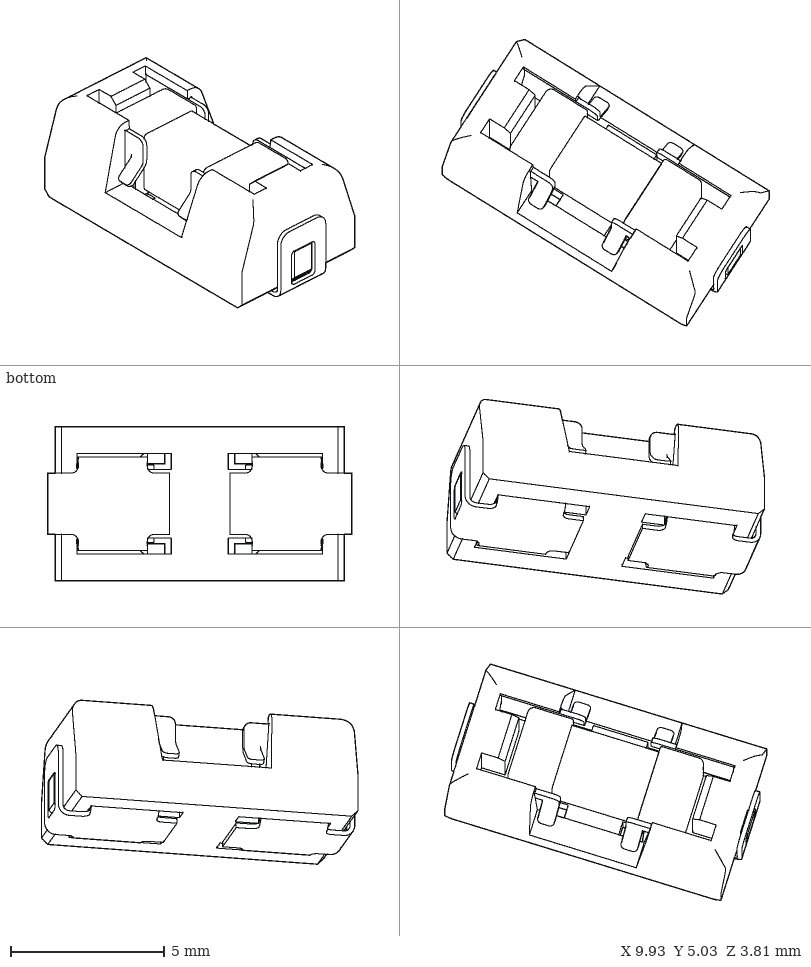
import cadquery as cq
import math


overall_length = 9.93
overall_width = 5.03
overall_height = 3.81
draft = math.tan(math.radians(4.5))

edge_reach = 0.01

sheet = 0.16
bend_outside = 0.37
bend_inside = bend_outside - sheet
lead_half_width = 1.0
lead_top = 2.5
lead_corner_radius = 0.4
window_width = 1.03
window_bottom = 0.36
window_top = 1.65
window_corner_radius = 0.12
foot_start = 0.99
blade_start = 1.71
blade_end = 3.97
blade_outer = 1.46
blade_root = 1.53
blade_top = 3.5
foot_relief_radius = 0.22
pinched_outer = 1.31
pinch_height = 2.02
shoulder_height = 2.62
wing_start = 1.14
wing_corner_radius = 0.25
tab_bend_height = 2.6
tab_tip_y = 2.11
tab_tip_z = 2.01
tab_corner_radius = 0.16

housing_half_length = 4.73
housing_bottom = sheet
ledge_height = 1.62
flank_top_half_width = 1.83
end_round = 0.6
flank_round = 0.5
end_chamfer = 0.21
boss_width = 0.77
saddle_half_length = 1.83
cavity_half_length = 4.01
cavity_half_width = blade_outer - sheet
slot_outer = 1.64
slot_inner = pinched_outer - sheet
stop_half_width = 0.75
stop_face = 3.21
stop_chamfer = 0.24
platform_half_length = 1.32
platform_gap_start = 0.93
platform_half_width = 1.12

cap_half_width = 1.27
cap_top = 3.57
cap_inner = 1.49
cap_outer = 3.0
cap_round = 0.21
cap_lip_round = 0.06
tube_half_width = 1.09
tube_round = 0.12
cap_bottom = cap_top - 2 * cap_half_width
fuse_axis_height = cap_top - cap_half_width
tube_bottom = fuse_axis_height - tube_half_width


def span_box(x0, x1, y0, y1, z0, z1):
    """Box between two opposite corners."""
    return cq.Workplane("XY").box(x1 - x0, y1 - y0, z1 - z0, centered=False).translate((x0, y0, z0))


def extrude_along_x(profile, x0, x1):
    """Extrude a YZ profile from x0 to x1."""
    return profile.extrude(x1 - x0).translate((x0, 0, 0))


def with_mirror(shape, plane):
    """A shape together with its mirror image."""
    return shape.union(shape.mirror(plane))


def housing_shell():
    """Outer form: sloping flanks crossed with round-topped ends, which meet in mitred corners."""
    flanks = (
        cq.Workplane("YZ")
        .moveTo(-overall_width / 2, housing_bottom)
        .lineTo(overall_width / 2, housing_bottom)
        .lineTo(overall_width / 2, ledge_height)
        .lineTo(flank_top_half_width, overall_height)
        .lineTo(-flank_top_half_width, overall_height)
        .lineTo(-overall_width / 2, ledge_height)
        .close()
        .extrude(housing_half_length, both=True)
        .edges("|X and >Z").fillet(flank_round)
    )
    ends = (
        cq.Workplane("XZ")
        .rect(2 * housing_half_length, overall_height - housing_bottom)
        .extrude(overall_width / 2, both=True)
        .translate((0, 0, (overall_height + housing_bottom) / 2))
        .edges("|Y and >Z").fillet(end_round)
        .edges("|Y and <Z").chamfer(end_chamfer)
    )
    return flanks.intersect(ends)


def end_boss():
    """Block on the +X end that sits in the lead window; its underside carries on the end chamfer."""
    face = overall_length / 2
    root = housing_half_length - end_chamfer
    return (
        cq.Workplane("XZ")
        .moveTo(root, housing_bottom)
        .lineTo(face, housing_bottom + face - root)
        .lineTo(face, ledge_height)
        .lineTo(root, ledge_height)
        .close()
        .extrude(boss_width / 2, both=True)
    )


def saddle():
    """Drafted gap across the middle, above the ledges."""
    top_half_length = saddle_half_length + draft * (overall_height - ledge_height)
    return (
        cq.Workplane("XZ")
        .moveTo(-saddle_half_length, ledge_height)
        .lineTo(saddle_half_length, ledge_height)
        .lineTo(top_half_length, overall_height)
        .lineTo(-top_half_length, overall_height)
        .close()
        .extrude(overall_width / 2, both=True)
    )


def fuse_cavity():
    """Open-topped cavity, with a raised platform under the tube and a wider middle well."""
    cavity = span_box(-cavity_half_length, cavity_half_length, -cavity_half_width, cavity_half_width,
                      cap_bottom, overall_height)
    platform = span_box(-platform_half_length, platform_half_length, -cavity_half_width, cavity_half_width,
                        cap_bottom, tube_bottom)
    well = span_box(-platform_half_length, platform_half_length, -slot_outer, slot_outer,
                    tube_bottom, ledge_height)
    return cavity.cut(platform).union(well)


def end_stop():
    """Chamfered block inside the +X end of the cavity."""
    block = span_box(stop_face, cavity_half_length, -stop_half_width, stop_half_width,
                     cap_bottom, overall_height)
    return block.edges("|Y and <X and >Z").chamfer(stop_chamfer)


def blade_slot():
    """Slot for one blade (+X, +Y), open below; its outer wall is drafted above the ledge."""
    slot_roof_y = slot_outer - draft * (blade_top - ledge_height)
    profile = (
        cq.Workplane("YZ")
        .moveTo(slot_inner, housing_bottom)
        .lineTo(slot_outer, housing_bottom)
        .lineTo(slot_outer, ledge_height)
        .lineTo(slot_roof_y, blade_top)
        .lineTo(slot_inner, blade_top)
        .close()
    )
    slot = extrude_along_x(profile, blade_start, cavity_half_length)
    opening = span_box(platform_gap_start, blade_start, platform_half_width, slot_outer,
                       housing_bottom, ledge_height)
    return slot.union(opening)


def make_housing():
    slots = with_mirror(with_mirror(blade_slot(), "XZ"), "YZ")
    bosses = with_mirror(end_boss(), "YZ")
    stops = with_mirror(end_stop(), "YZ")
    openings = fuse_cavity().cut(stops).union(slots).union(saddle())
    return housing_shell().union(bosses).cut(openings)


def clip_lead():
    """Foot strip and upright lead at the +X end, bent from one sheet, with a window for the boss."""
    face = overall_length / 2
    inner_face = face - sheet
    lead = (
        cq.Workplane("XZ")
        .moveTo(foot_start, 0)
        .lineTo(face - bend_outside, 0)
        .radiusArc((face, bend_outside), -bend_outside)
        .lineTo(face, lead_top)
        .lineTo(inner_face, lead_top)
        .lineTo(inner_face, bend_outside)
        .radiusArc((inner_face - bend_inside, sheet), bend_inside)
        .lineTo(foot_start, sheet)
        .close()
        .extrude(lead_half_width, both=True)
        .edges("|X and >Z").fillet(lead_corner_radius)
    )
    window = (
        span_box(inner_face, face, -window_width / 2, window_width / 2, window_bottom, window_top)
        .edges("|X").fillet(window_corner_radius)
    )
    return lead.cut(window)


def edges_near(y, z):
    """Selector for edges centred on a point of the YZ profile, at any X."""
    return cq.selectors.BoxSelector(
        (0, y - edge_reach, z - edge_reach),
        (overall_length, y + edge_reach, z + edge_reach),
    )


def clip_blade():
    """Blade on the +Y side with its half of the base; it is pinched in towards the fuse."""
    inner = blade_outer - sheet
    pinched_inner = pinched_outer - sheet
    bend_start = blade_root - bend_outside
    profile = (
        cq.Workplane("YZ")
        .moveTo(0, 0)
        .lineTo(bend_start, 0)
        .radiusArc((blade_root, bend_outside), -bend_outside)
        .lineTo(pinched_outer, ledge_height)
        .lineTo(pinched_outer, pinch_height)
        .lineTo(blade_outer, shoulder_height)
        .lineTo(blade_outer, blade_top)
        .lineTo(inner, blade_top)
        .lineTo(inner, shoulder_height)
        .lineTo(pinched_inner, pinch_height)
        .lineTo(pinched_inner, ledge_height)
        .lineTo(blade_root - sheet, bend_outside)
        .radiusArc((bend_start, sheet), bend_inside)
        .lineTo(0, sheet)
        .close()
    )
    blade = extrude_along_x(profile, blade_start, blade_end)
    for y, z, radius in (
        (blade_outer, shoulder_height, bend_outside),
        (inner, shoulder_height, bend_inside),
        (pinched_outer, pinch_height, bend_inside),
        (pinched_inner, pinch_height, bend_outside),
    ):
        blade = blade.edges(edges_near(y, z)).fillet(radius)
    return blade


def foot_reliefs():
    """Concave fillets where the +Y blade base leaves the foot strip."""
    r = foot_relief_radius
    y = lead_half_width
    fillets = cq.Workplane("XY")
    for x, outward in ((blade_start, -1), (blade_end, 1)):
        fillets = fillets.union(
            cq.Workplane("XY")
            .moveTo(x, y)
            .lineTo(x + outward * r, y)
            .radiusArc((x, y + r), outward * r)
            .close()
            .extrude(sheet)
        )
    return fillets


def clip_wing():
    """Blade extension towards the middle, with a tab bent outwards and down."""
    inner = blade_outer - sheet
    slope = math.atan2(tab_bend_height - tab_tip_z, tab_tip_y - blade_outer)
    under_tip_y = tab_tip_y - sheet * math.sin(slope)
    under_tip_z = tab_tip_z - sheet * math.cos(slope)
    under_bend_height = under_tip_z + (under_tip_y - inner) * math.tan(slope)
    profile = (
        cq.Workplane("YZ")
        .moveTo(inner, blade_top)
        .lineTo(inner, under_bend_height)
        .lineTo(under_tip_y, under_tip_z)
        .lineTo(tab_tip_y, tab_tip_z)
        .lineTo(blade_outer, tab_bend_height)
        .lineTo(blade_outer, blade_top)
        .close()
    )
    return (
        extrude_along_x(profile, wing_start, blade_start)
        .edges(edges_near((under_tip_y + tab_tip_y) / 2, (under_tip_z + tab_tip_z) / 2))
        .fillet(tab_corner_radius)
        .edges(edges_near(inner, under_bend_height)).fillet(bend_outside)
        .edges(edges_near(blade_outer, tab_bend_height)).fillet(bend_inside)
        .edges("|Y and <X and >Z").fillet(wing_corner_radius)
    )


def make_clip(fuse):
    """Clip at the +X end, relieved where its blades bear on the fuse."""
    side = clip_blade().union(foot_reliefs()).union(clip_wing())
    return clip_lead().union(with_mirror(side, "XZ")).cut(fuse)


def fuse_cap():
    """Square end cap on the +X end."""
    cap = span_box(cap_inner, cap_outer, -cap_half_width, cap_half_width, cap_bottom, cap_top)
    return cap.edges("|X or >X").fillet(cap_round).edges("<X").fillet(cap_lip_round)


def make_fuse():
    """Square tube with a cap on each end, as one body."""
    tube = (
        span_box(-cap_inner, cap_inner, -tube_half_width, tube_half_width,
                 tube_bottom, tube_bottom + 2 * tube_half_width)
        .edges("|X").fillet(tube_round)
    )
    return tube.union(with_mirror(fuse_cap(), "YZ"))


housing = make_housing()
fuse = make_fuse()
right_clip = make_clip(fuse)
clips = [right_clip, right_clip.mirror("YZ")]

result = cq.Compound.makeCompound([body.solids().val() for body in (housing, fuse, *clips)])